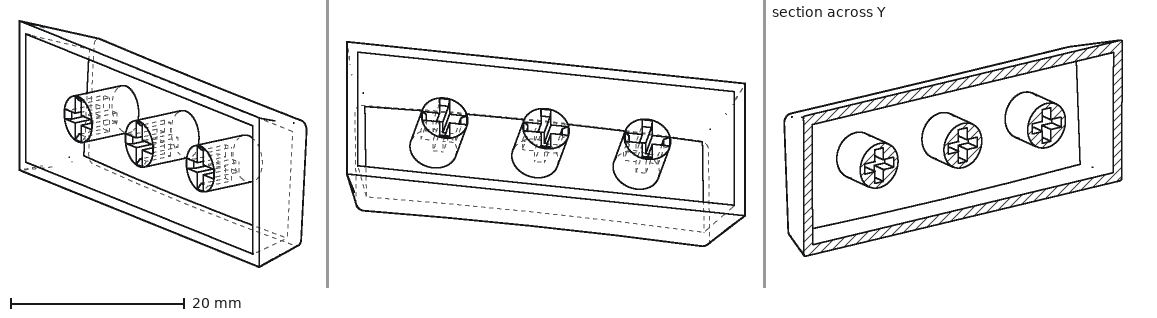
import cadquery as cq
import math

CAP_LENGTH = 46.75
CAP_HEIGHT = 18.0
RIM_WIDTH = 1.27

CROWN_UPPER_Y = 8.77
CROWN_LOWER_Y = 7.88
CROWN_SIDE_INSET = 2.64
CROWN_UPPER_INSET = 2.85
CROWN_LOWER_INSET = 0.25
CROWN_CORNER_RADIUS = 1.0
SHARP_CORNER_RADIUS = 0.02
DISH_DEPTH = 0.58

ROOF_THICKNESS = 1.3
POCKET_SIDE_INSET = 2.32
POCKET_UPPER_INSET = 2.6
POCKET_LOWER_INSET = 0.15

STEM_DIAMETER = 5.45
STEM_PITCH = 11.9
STEM_COUNT = 3
CROSS_ARM_WIDTH = 1.17
CROSS_LENGTH = 4.05
CROSS_MOUTH_LENGTH = 5.2
CROSS_DEPTH = 4.0

CROWN_UPPER_Z = CAP_HEIGHT / 2 - CROWN_UPPER_INSET
CROWN_LOWER_Z = -CAP_HEIGHT / 2 + CROWN_LOWER_INSET
CROWN_SLOPE = (CROWN_UPPER_Y - CROWN_LOWER_Y) / (CROWN_UPPER_Z - CROWN_LOWER_Z)
CROWN_TILT = math.atan(CROWN_SLOPE)
CROWN_MID_Y = CROWN_LOWER_Y - CROWN_SLOPE * CROWN_LOWER_Z
CROWN_HALF_LENGTH = CAP_LENGTH / 2 - CROWN_SIDE_INSET
DISH_RADIUS = (CROWN_HALF_LENGTH**2 + DISH_DEPTH**2) / (2 * DISH_DEPTH)
CROSS_LEAD_IN_DEPTH = (CROSS_MOUTH_LENGTH - CROSS_LENGTH) / 2

STEM_POSITIONS = [(i - (STEM_COUNT - 1) / 2) * STEM_PITCH for i in range(STEM_COUNT)]


def rounded_rectangle(length, height, radius):
    return cq.Sketch().rect(length, height).vertices().fillet(radius)


def tapered_block(depth_below_crown, rim, side_inset, upper_inset, lower_inset, radius):
    """Ruled loft from an outline on Y = 0 to a smaller, tilted outline parallel to the crown.

    The outline is drawn in a frame whose local Y is +Z and whose normal is +Y.
    """
    length = CAP_LENGTH - 2 * rim
    height = CAP_HEIGHT - 2 * rim
    rim_plane = cq.Plane(origin=(0, 0, 0), xDir=(-1, 0, 0), normal=(0, 1, 0))
    base = rounded_rectangle(length, height, SHARP_CORNER_RADIUS)

    top_height = (height - upper_inset - lower_inset) / math.cos(CROWN_TILT)
    top_center_z = (lower_inset - upper_inset) / 2
    top_center_y = CROWN_MID_Y + CROWN_SLOPE * top_center_z - depth_below_crown / math.cos(CROWN_TILT)
    top_location = cq.Location(
        cq.Vector(0, top_center_z, top_center_y), cq.Vector(1, 0, 0), math.degrees(CROWN_TILT)
    )
    top = rounded_rectangle(length - 2 * side_inset, top_height, radius).moved(top_location)
    return cq.Workplane(rim_plane).placeSketch(base, top).loft(ruled=True)


def dish_cylinder(depth_below_crown):
    """Large cylinder running up the crown slope; its underside is the dished surface."""
    up_slope = cq.Vector(0, math.sin(CROWN_TILT), math.cos(CROWN_TILT))
    outward = cq.Vector(0, math.cos(CROWN_TILT), -math.sin(CROWN_TILT))
    axis_point = cq.Vector(0, CROWN_MID_Y, 0) + outward * (DISH_RADIUS - DISH_DEPTH)
    section = cq.Plane(origin=axis_point, xDir=(1, 0, 0), normal=up_slope)
    return cq.Workplane(section).circle(DISH_RADIUS + depth_below_crown).extrude(CAP_HEIGHT, both=True)


def make_body():
    block = tapered_block(
        0, 0, CROWN_SIDE_INSET, CROWN_UPPER_INSET, CROWN_LOWER_INSET, CROWN_CORNER_RADIUS
    )
    return block.cut(dish_cylinder(0))


def make_pocket():
    block = tapered_block(
        ROOF_THICKNESS,
        RIM_WIDTH,
        POCKET_SIDE_INSET,
        POCKET_UPPER_INSET,
        POCKET_LOWER_INSET,
        SHARP_CORNER_RADIUS,
    )
    return block.cut(dish_cylinder(ROOF_THICKNESS))


def make_stem():
    """Post from the rim plane, long enough to pass through the pocket roof."""
    post_plane = cq.Plane(origin=(0, 0, 0), xDir=(0, 0, 1), normal=(0, 1, 0))
    return cq.Workplane(post_plane).circle(STEM_DIAMETER / 2).extrude(CROWN_LOWER_Y)


def make_socket():
    """Cross of two slots, each with a sloped lead-in at both ends of its mouth."""
    half_mouth = CROSS_MOUTH_LENGTH / 2
    half_length = CROSS_LENGTH / 2
    profile = [
        (-half_mouth, 0),
        (half_mouth, 0),
        (half_length, CROSS_LEAD_IN_DEPTH),
        (half_length, CROSS_DEPTH),
        (-half_length, CROSS_DEPTH),
        (-half_length, CROSS_LEAD_IN_DEPTH),
    ]
    arm = cq.Workplane("XY").polyline(profile).close().extrude(CROSS_ARM_WIDTH / 2, both=True)
    return arm.union(arm.rotate((0, 0, 0), (0, 1, 0), 90))


pocket = make_pocket()
stem = make_stem()
socket = make_socket()

for x in STEM_POSITIONS:
    pocket = pocket.cut(stem.translate((x, 0, 0)))

result = make_body().cut(pocket)
for x in STEM_POSITIONS:
    result = result.cut(socket.translate((x, 0, 0)))